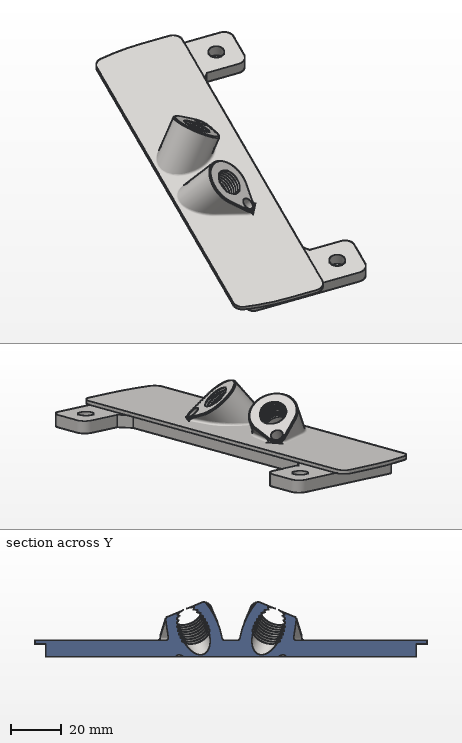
import cadquery as cq
import math


plate_length = 154.0
plate_depth = 37.0
plate_thickness = 1.5
plate_corner_radius = 4.0
side_curve_start = 21.5
side_curve_radius = 89.3

base_thickness = 5.1
base_length = 145.4
base_front = 5.5
shoulder_front = 6.2
shoulder_x = 68.4
bulge_x = 64.7
base_front_radius = 3.1
base_rear = 35.4
tab_rear = 56.8
tab_width = 19.1
tab_corner_radius = 4.0
gusset_depth = 4.0
gusset_width = 5.1
tab_hole_diameter = 6.3
tab_hole_y = 47.3

socket_tilt = 40.0
socket_yaw = 30.0
socket_face_center = (17.0, 20.3, 16.0)
socket_radius = 9.9
socket_fillet = 1.0
lug_radius = 3.5
rim_chamfer = 0.5
lug_distance = 11.2
lug_angle = 22.0
pin_hole_diameter = 4.8
bore_diameter = 10.6

thread_diameter = 12.0
thread_pitch = 1.2
thread_count = 8

plate_top = base_thickness + plate_thickness

through_length = 61.6
selection_margin = 0.2


def make_plate():
    half = plate_length / 2

    def half_length_at(y):
        """Half length where the curved side crosses the given Y."""
        run = side_curve_start - y
        return half - side_curve_radius + math.sqrt(side_curve_radius**2 - run**2)

    front_half = half_length_at(0)
    mid_y = side_curve_start / 2
    mid_half = half_length_at(mid_y)
    outline = (
        cq.Workplane("XY", origin=(0, 0, base_thickness))
        .moveTo(-front_half, 0)
        .lineTo(front_half, 0)
        .threePointArc((mid_half, mid_y), (half, side_curve_start))
        .lineTo(half, plate_depth)
        .lineTo(-half, plate_depth)
        .lineTo(-half, side_curve_start)
        .threePointArc((-mid_half, mid_y), (-front_half, 0))
        .close()
    )
    plate = outline.extrude(plate_thickness)
    plate = plate.edges("|Z").edges(">Y").fillet(plate_corner_radius)
    return plate.edges("|Z").edges("<Y").fillet(plate_corner_radius)


def make_base():
    half = base_length / 2
    body = (
        cq.Workplane("XY")
        .polyline([
            (-half, base_rear),
            (-half, shoulder_front),
            (-shoulder_x, shoulder_front),
            (-bulge_x, base_front),
            (bulge_x, base_front),
            (shoulder_x, shoulder_front),
            (half, shoulder_front),
            (half, base_rear),
        ])
        .close()
        .extrude(base_thickness)
    )
    front_corners = body.edges("|Z and (<X or >X)").edges("<Y")
    body = front_corners.fillet(base_front_radius)
    for side in (-1, 1):
        outer = side * half
        inner = side * (half - tab_width)
        gusset_foot = inner - side * gusset_width
        tab = (
            cq.Workplane("XY")
            .polyline([
                (outer, base_rear - gusset_depth),
                (outer, tab_rear),
                (inner, tab_rear),
                (inner, base_rear + gusset_depth),
                (gusset_foot, base_rear),
                (gusset_foot, base_rear - gusset_depth),
            ])
            .close()
            .extrude(base_thickness)
            .edges("|Z and >Y")
            .fillet(tab_corner_radius)
        )
        hole = (
            cq.Workplane("XY")
            .center(side * (half - tab_width / 2), tab_hole_y)
            .circle(tab_hole_diameter / 2)
            .extrude(base_thickness)
        )
        body = body.union(tab).cut(hole)
    return body


def socket_plane():
    """Plane of the right-hand socket face; local +Y climbs the slope, +Z leaves the face."""
    tilt = math.radians(socket_tilt)
    yaw = math.radians(socket_yaw)
    normal = (
        math.sin(tilt) * math.sin(yaw),
        math.sin(tilt) * math.cos(yaw),
        math.cos(tilt),
    )
    across = (-math.cos(yaw), math.sin(yaw), 0)
    return cq.Plane(origin=socket_face_center, xDir=across, normal=normal)


def lug_center():
    angle = math.radians(lug_angle)
    return (-lug_distance * math.sin(angle), -lug_distance * math.cos(angle))


def teardrop_prism(top, bottom):
    """Prism between two heights along the socket axis: round barrel joined to the smaller lug."""
    lug_x, lug_y = lug_center()
    toward_lug = math.atan2(lug_y, lug_x)
    contact = math.acos((socket_radius - lug_radius) / lug_distance)

    def barrel_point(angle):
        return (socket_radius * math.cos(angle), socket_radius * math.sin(angle))

    def lug_point(angle):
        return (lug_x + lug_radius * math.cos(angle), lug_y + lug_radius * math.sin(angle))

    start = toward_lug + contact
    end = toward_lug - contact
    return (
        cq.Workplane(socket_plane())
        .workplane(offset=top)
        .moveTo(*barrel_point(start))
        .threePointArc(barrel_point(toward_lug + math.pi), barrel_point(end))
        .lineTo(*lug_point(end))
        .threePointArc(lug_point(toward_lug), lug_point(start))
        .close()
        .extrude(bottom - top)
    )


def above_plate():
    return (
        cq.Workplane("XY", origin=(0, 0, plate_top))
        .rect(plate_length, plate_length)
        .extrude(2 * through_length)
    )


def add_socket(plate):
    """Blend an overlong socket into the plate, then trim it to its chamfered face."""
    overlong = teardrop_prism(through_length, -through_length).intersect(above_plate())
    body = plate.union(overlong)
    root = cq.selectors.BoxSelector(
        (0, selection_margin, plate_top - selection_margin),
        (plate_length / 2 - selection_margin, plate_depth - selection_margin, plate_top + selection_margin),
        boundingbox=True,
    )
    body = body.edges(root).fillet(socket_fillet)
    head = teardrop_prism(0, -through_length)
    face = cq.selectors.DirectionMinMaxSelector(socket_plane().zDir)
    head = head.faces(face).chamfer(rim_chamfer)
    waste = (
        cq.Workplane(socket_plane())
        .workplane(offset=-rim_chamfer)
        .rect(2 * through_length, 2 * through_length)
        .extrude(3 * through_length)
        .cut(head)
        .intersect(above_plate())
    )
    return body.cut(waste)


def make_socket_holes():
    """Threaded bore and pin hole, running through plate and base."""
    face = cq.Workplane(socket_plane())
    bore = face.circle(bore_diameter / 2).extrude(-through_length)
    pin = face.center(*lug_center()).circle(pin_hole_diameter / 2).extrude(-through_length)
    holes = bore.union(pin)
    bore_radius = bore_diameter / 2
    thread_radius = thread_diameter / 2
    for index in range(thread_count):
        top = -index * thread_pitch
        groove = (
            cq.Workplane("XZ")
            .polyline([
                (0, top),
                (bore_radius, top),
                (thread_radius, top - thread_pitch / 2),
                (bore_radius, top - thread_pitch),
                (0, top - thread_pitch),
            ])
            .close()
            .revolve(360, (0, 0, 0), (0, 1, 0))
        )
        holes = holes.union(groove.val().moved(cq.Location(socket_plane())))
    return holes


holes = make_socket_holes()
right_half = (
    cq.Workplane("XY")
    .rect(plate_length, 2 * tab_rear)
    .extrude(through_length)
    .translate((plate_length / 2, 0, 0))
)
right_side = add_socket(make_plate()).union(make_base()).cut(holes).intersect(right_half)
result = right_side.union(right_side.mirror("YZ"))